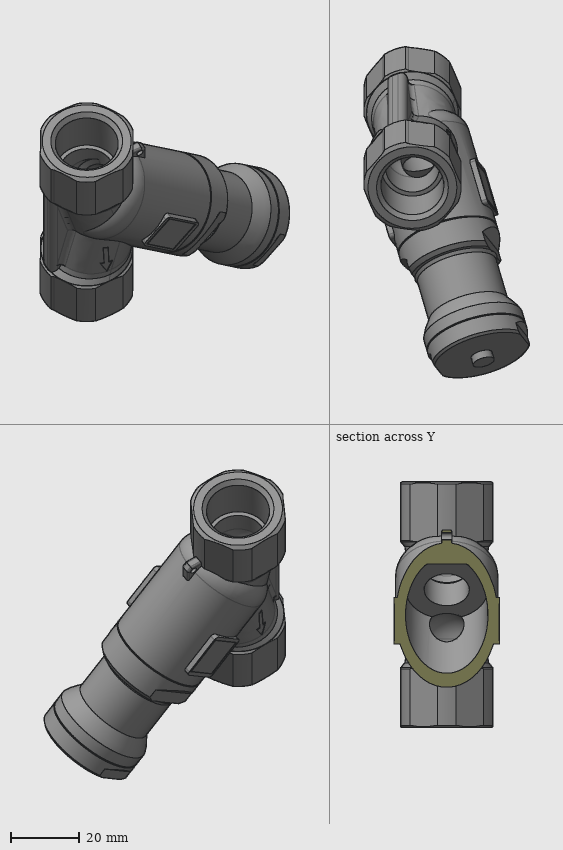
import cadquery as cq
import math


pipe_half_length = 36.0
hex_across_flats = 27.0
hex_corner_radius = 14.26
hex_inner_z = 18.3
hex_face_radius = 13.0
hex_chamfer_height = (hex_corner_radius - hex_face_radius) * math.tan(math.radians(30))
hex_inner_face_radius = 13.5
hex_inner_chamfer_height = (hex_corner_radius - hex_inner_face_radius) * math.tan(math.radians(30))
hex_pad_half_width = 3.3
hex_pad_base_half_width = 4.0
hex_pad_base_y = -(hex_across_flats - hex_pad_base_half_width) / 2 / math.cos(math.pi / 6)
hex_pad_edge_y = -math.sqrt(hex_corner_radius**2 - hex_pad_half_width**2)

neck_waist = (0.0, 12.0, 5.1)
neck_end = (15.3, 12.0, 1.5)
neck_flare_start = (17.0, 12.3, 0.9)
neck_flare_end = (hex_inner_z, 13.4, 0.0)

rib_half_width = 3.0
rib_reach = 13.65
rib_edge_radius = 2.1
rib_root_radius = 2.1
rib_straight_reach = rib_reach - rib_edge_radius

arrow_height = 0.2
arrow_tail_z = -4.0
arrow_shoulder_z = -10.8
arrow_tip_z = -15.0
arrow_shaft_half_width = 0.7
arrow_head_half_width = 1.8

branch_z = 14.0
barrel_radius = 15.0
barrel_shoulder_radius = 6.5
barrel_start = 1.9
bonnet_start = 39.9
seam_chamfer = 0.2

plate_start = 20.4
plate_end = 35.5
plate_width = 12.0
plate_reach = 15.5
plate_corner = 1.2
plate_side_rim = 0.7
plate_end_rim = 1.35
plate_recess = 0.2

eyelet_half_width = 1.5
eyelet_reach = 19.0
eyelet_top_z = 21.9
eyelet_bottom_z = 14.0
eyelet_corner = 1.3
eyelet_edge_radius = 0.6
eyelet_hole_radius = 1.0
eyelet_hole_y = 17.0
eyelet_hole_z = 20.05

bore_radius = 7.9
thread_radius = 9.2
thread_depth = 15.0
thread_mouth_radius = 10.5
thread_mouth_depth = thread_mouth_radius - thread_radius
seat_radius = 6.6
seat_cone_start = 2.7
seat_start = 4.4
cavity_start = 13.6
cavity_radius = 12.0
outlet_dome_z = -10.0

collar_end = 49.0
collar_chamfer = 1.2
bonnet_neck_radius = 12.0
root_radius = 12.5
root_end = 50.1
flange_cone_start = 63.2
flange_start = 68.3
flange_cone_bulge = 0.25
collar_flat_distance = bonnet_neck_radius
collar_flat_start = 44.9

cap_start = 72.1
cap_end = 77.9
cap_chamfer = 0.7
cap_flat_distance = 13.5
cap_flat_start = 74.7
stem_radius = 3.2
stem_end = 80.2

branch_location = cq.Location(cq.Plane(origin=(0, 0, branch_z), xDir=(1, 0, 0), normal=(0, 1, -1)))


def on_branch(body):
    """Move a body built along Z onto the branch axis."""
    return cq.Workplane(obj=body.val().moved(branch_location))


def cylinder(radius, start, end):
    return cq.Workplane().workplane(offset=start).circle(radius).extrude(end - start)


def revolved(points):
    """Solid of revolution about Z from (radius, height) points."""
    return cq.Workplane("XZ").polyline(points).close().revolve(360, (0, 0, 0), (0, 1, 0))


def flat_cutters(distance, start, end):
    """Tools that cut one flat on each X side, running out at 45 degrees at the start."""
    reach = 2 * barrel_radius
    outline = [
        (distance, start),
        (reach, start - (reach - distance)),
        (reach, end),
        (distance, end),
    ]
    cutter = cq.Workplane("XZ").polyline(outline).close().extrude(reach, both=True)
    return cutter.union(cutter.mirror("YZ"))


def hex_end():
    """Upper hexagon with rounded corners, chamfered ends and a raised pad on its -Y corner."""
    length = pipe_half_length - hex_inner_z
    hexagon = (
        cq.Workplane()
        .workplane(offset=hex_inner_z)
        .polygon(6, hex_across_flats / math.cos(math.pi / 6))
        .extrude(length)
        .rotate((0, 0, 0), (0, 0, 1), 30)
    )
    pad_outline = [
        (0, 0),
        (-hex_pad_base_half_width, hex_pad_base_y),
        (-hex_pad_half_width, hex_pad_edge_y),
        (-hex_pad_half_width, -hex_across_flats),
        (hex_pad_half_width, -hex_across_flats),
        (hex_pad_half_width, hex_pad_edge_y),
        (hex_pad_base_half_width, hex_pad_base_y),
    ]
    pad = cq.Workplane().workplane(offset=hex_inner_z).polyline(pad_outline).close().extrude(length)
    turned = revolved([
        (0, hex_inner_z),
        (hex_inner_face_radius, hex_inner_z),
        (hex_corner_radius, hex_inner_z + hex_inner_chamfer_height),
        (hex_corner_radius, pipe_half_length - hex_chamfer_height),
        (hex_face_radius, pipe_half_length),
        (0, pipe_half_length),
    ])
    return hexagon.union(pad).intersect(turned)


def neck_part(lower, upper, growth=0.0):
    """Loft between two round sections, each radius enlarged by growth."""
    wires = [
        cq.Wire.makeCircle(radius + growth, cq.Vector(0, shift, z), cq.Vector(0, 0, 1))
        for z, radius, shift in (lower, upper)
    ]
    return cq.Workplane(obj=cq.Solid.makeLoft(wires, True))


def both_ends(upper):
    return upper.union(upper.mirror("XY"))


def rib(length):
    """Rib from the middle of the pipe up, with its two outer edges rounded."""
    body = cq.Workplane().box(2 * rib_half_width, rib_reach, length, centered=(True, False, False))
    return body.translate((0, -rib_reach, 0)).edges("|Z and <Y").fillet(rib_edge_radius)


def neck_with_rib():
    """Neck sections leaning toward the branch at mid height, flares, and the rib with filleted roots."""
    waist_height = neck_end[0]
    waist = neck_part(neck_waist, neck_end).union(rib(waist_height))
    root_margin = 0.1
    for side in (-1, 1):
        root_zone = cq.selectors.BoxSelector(
            (side * rib_half_width - root_margin, -rib_straight_reach + root_margin, root_margin),
            (side * rib_half_width + root_margin, 0, waist_height - root_margin),
        )
        waist = waist.edges(root_zone).fillet(rib_root_radius)
    flare = neck_part(neck_end, neck_flare_start).union(neck_part(neck_flare_start, neck_flare_end))
    return both_ends(waist.union(flare).union(rib(hex_inner_z)))


def arrows():
    """Raised arrows that point down on both sides of the lower neck."""
    outline = [
        (-arrow_shaft_half_width, arrow_tail_z),
        (-arrow_shaft_half_width, arrow_shoulder_z),
        (-arrow_head_half_width, arrow_shoulder_z),
        (0, arrow_tip_z),
        (arrow_head_half_width, arrow_shoulder_z),
        (arrow_shaft_half_width, arrow_shoulder_z),
        (arrow_shaft_half_width, arrow_tail_z),
    ]
    prism = cq.Workplane("YZ").polyline(outline).close().extrude(barrel_radius, both=True)
    return prism.intersect(neck_part(neck_waist, neck_end, arrow_height).mirror("XY"))


def barrel():
    """Branch barrel with a rounded shoulder at the pipe and a chamfer at the bonnet."""
    body = cylinder(barrel_radius, barrel_start, bonnet_start)
    body = body.faces("<Z").edges().fillet(barrel_shoulder_radius)
    body = body.faces(">Z").edges().chamfer(seam_chamfer)
    return on_branch(body)


def name_plates():
    """Flat plates with a shallow recess inside a narrow rim, through the barrel to both sides."""
    length = plate_end - plate_start
    middle = (plate_start + plate_end) / 2
    plate = cq.Workplane().box(2 * plate_reach, plate_width, length).edges("|X").fillet(plate_corner)
    for side in ("<X", ">X"):
        plate = (
            plate.faces(side)
            .workplane(centerOption="CenterOfBoundBox")
            .rect(plate_width - 2 * plate_side_rim, length - 2 * plate_end_rim)
            .cutBlind(-plate_recess)
        )
    return on_branch(plate.translate((0, 0, middle)))


def eyelet():
    """Rounded tab between the upper hexagon and the barrel, with a hole across it."""
    height = eyelet_top_z - eyelet_bottom_z
    body = cq.Workplane().box(2 * eyelet_half_width, eyelet_reach, height, centered=(True, False, False))
    body = body.translate((0, 0, eyelet_bottom_z))
    body = body.edges("|X and >Y and >Z").chamfer(eyelet_corner)
    body = body.faces("<X or >X").edges("not <Y").fillet(eyelet_edge_radius)
    hole = (
        cq.Workplane("YZ")
        .center(eyelet_hole_y, eyelet_hole_z)
        .circle(eyelet_hole_radius)
        .extrude(eyelet_half_width, both=True)
    )
    return body.cut(hole)


def threaded_port():
    """Thread bore and its chamfered mouth at the upper end of the pipe."""
    return revolved([
        (0, pipe_half_length - thread_depth),
        (thread_radius, pipe_half_length - thread_depth),
        (thread_radius, pipe_half_length - thread_mouth_depth),
        (thread_mouth_radius, pipe_half_length),
        (0, pipe_half_length),
    ])


def flow_passage():
    """Inlet bore with a round end, seat and cavity on the branch axis, outlet bore below."""
    inlet = cylinder(bore_radius, branch_z, pipe_half_length)
    inlet = inlet.union(cq.Workplane().sphere(bore_radius).translate((0, 0, branch_z)))
    seat = revolved([
        (0, 0),
        (bore_radius, 0),
        (bore_radius, seat_cone_start),
        (seat_radius, seat_start),
        (seat_radius, cavity_start),
        (cavity_radius, cavity_start),
        (cavity_radius, bonnet_start),
        (0, bonnet_start),
    ])
    outlet = cylinder(bore_radius, -pipe_half_length, outlet_dome_z)
    outlet = outlet.union(cq.Workplane().sphere(bore_radius).translate((0, 0, outlet_dome_z)))
    return inlet.union(on_branch(seat)).union(outlet)


def make_housing():
    body = neck_with_rib().union(both_ends(hex_end())).union(arrows())
    body = body.union(eyelet()).union(barrel()).union(name_plates())
    return body.cut(flow_passage()).cut(both_ends(threaded_port()))


def make_bonnet():
    """Collar with two flats against the housing, neck, and flange against the cap."""
    collar = revolved([
        (0, bonnet_start),
        (barrel_radius - seam_chamfer, bonnet_start),
        (barrel_radius, bonnet_start + seam_chamfer),
        (barrel_radius, collar_end - collar_chamfer),
        (barrel_radius - collar_chamfer, collar_end),
        (root_radius, collar_end),
        (bonnet_neck_radius, root_end),
        (bonnet_neck_radius, flange_cone_start),
        (0, flange_cone_start),
    ])
    collar = collar.cut(flat_cutters(collar_flat_distance, collar_flat_start, collar_end))
    flange_outline = (
        cq.Workplane("XZ")
        .moveTo(0, flange_cone_start)
        .lineTo(bonnet_neck_radius, flange_cone_start)
        .sagittaArc((barrel_radius, flange_start), -flange_cone_bulge)
        .lineTo(barrel_radius, cap_start - seam_chamfer)
        .lineTo(barrel_radius - seam_chamfer, cap_start)
        .lineTo(0, cap_start)
        .close()
    )
    flange = flange_outline.revolve(360, (0, 0, 0), (0, 1, 0))
    return on_branch(collar.union(flange))


def make_cap():
    """End cap with two flats and a hole for the stem."""
    body = revolved([
        (stem_radius, cap_start),
        (barrel_radius - seam_chamfer, cap_start),
        (barrel_radius, cap_start + seam_chamfer),
        (barrel_radius, cap_end - cap_chamfer),
        (barrel_radius - cap_chamfer, cap_end),
        (stem_radius, cap_end),
    ])
    return on_branch(body.cut(flat_cutters(cap_flat_distance, cap_flat_start, cap_end)))


def make_stem():
    return on_branch(cylinder(stem_radius, cap_start, stem_end))


housing = make_housing()
bonnet = make_bonnet()
cap = make_cap()
stem = make_stem()

bodies = [housing, bonnet, cap, stem]
result = cq.Compound.makeCompound([body.solids().val() for body in bodies])